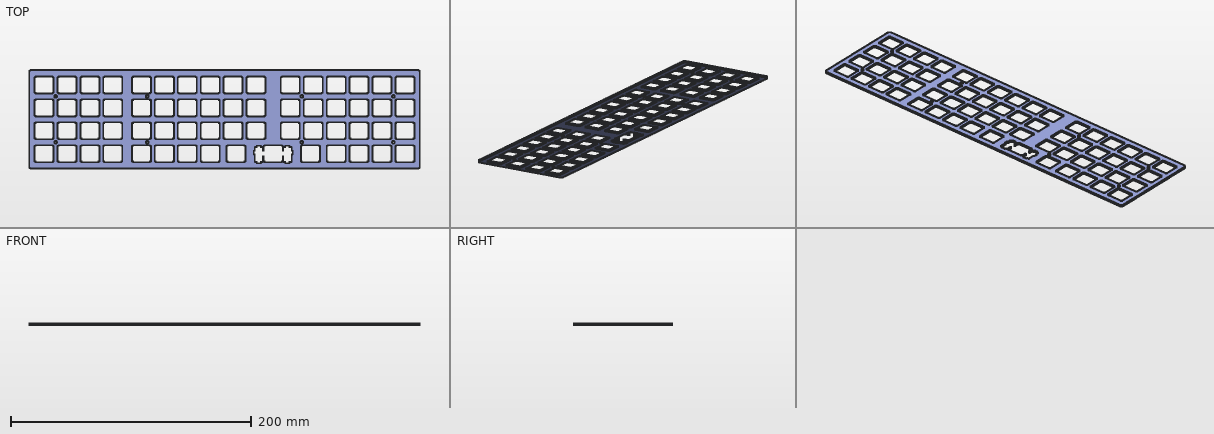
import cadquery as cq

UNIT = 19.05
ROWS = 4
MARGIN = 3.0
THICKNESS = 1.6
CORNER_RADIUS = 2.0

LEFT_COUNT = 4
MIDDLE_COUNT = 6
RIGHT_COUNT = 6
LEFT_STRIP = 0.25
RIGHT_STRIP = 0.5
MIDDLE_START = LEFT_COUNT + LEFT_STRIP
RIGHT_START = MIDDLE_START + MIDDLE_COUNT + RIGHT_STRIP
LEFT_COLUMNS = list(range(LEFT_COUNT))
MIDDLE_COLUMNS = [MIDDLE_START + i for i in range(MIDDLE_COUNT)]
RIGHT_COLUMNS = [RIGHT_START + i for i in range(RIGHT_COUNT)]
LAST_COLUMN = RIGHT_COLUMNS[-1]

SPACE_COLUMN = (MIDDLE_COLUMNS[-1] + RIGHT_COLUMNS[0]) / 2
SPACE_KEY_UNITS = 2
FLANKING_KEY_UNITS = 1.25
FLANKING_OFFSET = (SPACE_KEY_UNITS + FLANKING_KEY_UNITS) / 2

SWITCH_SIZE = 14.0
SWITCH_WIDE = 15.6
SWITCH_LOW = 12.8

STAB_OFFSET = 11.9
STAB_WIDTH = 6.75
STAB_TOP = 5.53
STAB_BOTTOM = -6.77
CLIP_WIDTH = 3.3
CLIP_TOP = 6.45
CLIP_BOTTOM = -7.75
WIRE_HALF_HEIGHT = 2.3
NOTCH_REACH = 4.2
NOTCH_BOTTOM = -0.5

HOLE_DIAMETER = 2.1
HOLE_INSET = 0.5
HOLE_SPACING = 4
HOLE_COLUMNS = [
    HOLE_INSET,
    HOLE_INSET + HOLE_SPACING,
    LAST_COLUMN - HOLE_INSET - HOLE_SPACING,
    LAST_COLUMN - HOLE_INSET,
]
HOLE_ROWS = [HOLE_INSET, ROWS - 1 - HOLE_INSET]

LENGTH = (LAST_COLUMN + 1) * UNIT + 2 * MARGIN
WIDTH = ROWS * UNIT + 2 * MARGIN


def grid_point(column, row):
    """Centre of a grid place; row 0 is the bottom row."""
    x = (column - LAST_COLUMN / 2) * UNIT
    y = (row - (ROWS - 1) / 2) * UNIT
    return (x, y)


def cutter(x_min, x_max, y_min, y_max):
    """Rectangular block through the full plate thickness."""
    block = cq.Workplane("XY").box(x_max - x_min, y_max - y_min, THICKNESS, centered=False)
    return block.translate((x_min, y_min, 0))


def switch_points():
    """Centres of all switch openings."""
    upper_columns = LEFT_COLUMNS + MIDDLE_COLUMNS + RIGHT_COLUMNS
    points = [grid_point(column, row) for row in range(1, ROWS) for column in upper_columns]
    flanking_columns = [SPACE_COLUMN - FLANKING_OFFSET, SPACE_COLUMN + FLANKING_OFFSET]
    bottom_columns = LEFT_COLUMNS + MIDDLE_COLUMNS[:-2] + RIGHT_COLUMNS[2:]
    bottom_columns = bottom_columns + flanking_columns + [SPACE_COLUMN]
    return points + [grid_point(column, 0) for column in bottom_columns]


def cut_switches(plate):
    points = switch_points()
    for width, height in ((SWITCH_SIZE, SWITCH_SIZE), (SWITCH_WIDE, SWITCH_LOW)):
        top = plate.faces(">Z").workplane(origin=(0, 0, THICKNESS))
        plate = top.pushPoints(points).rect(width, height).cutThruAll()
    return plate


def stabiliser_cutter():
    """Opening on the right of the space key, with the wire channel to the key."""
    half_width = STAB_WIDTH / 2
    half_clip = CLIP_WIDTH / 2
    body = cutter(STAB_OFFSET - half_width, STAB_OFFSET + half_width, STAB_BOTTOM, STAB_TOP)
    clip = cutter(STAB_OFFSET - half_clip, STAB_OFFSET + half_clip, CLIP_BOTTOM, CLIP_TOP)
    wire = cutter(0, STAB_OFFSET, -WIRE_HALF_HEIGHT, WIRE_HALF_HEIGHT)
    notch = cutter(STAB_OFFSET, STAB_OFFSET + NOTCH_REACH, NOTCH_BOTTOM, WIRE_HALF_HEIGHT)
    return body.union(clip).union(wire).union(notch)


def cut_stabilisers(plate):
    right_side = stabiliser_cutter()
    left_side = right_side.mirror("YZ")
    x, y = grid_point(SPACE_COLUMN, 0)
    for side in (right_side, left_side):
        plate = plate.cut(side.translate((x, y, 0)))
    return plate


def drill_mounting_holes(plate):
    points = [grid_point(column, row) for column in HOLE_COLUMNS for row in HOLE_ROWS]
    top = plate.faces(">Z").workplane(origin=(0, 0, THICKNESS))
    return top.pushPoints(points).hole(HOLE_DIAMETER)


plate = cq.Workplane("XY").box(LENGTH, WIDTH, THICKNESS, centered=(True, True, False))
plate = plate.edges("|Z").fillet(CORNER_RADIUS)
plate = cut_switches(plate)
plate = cut_stabilisers(plate)
result = drill_mounting_holes(plate)